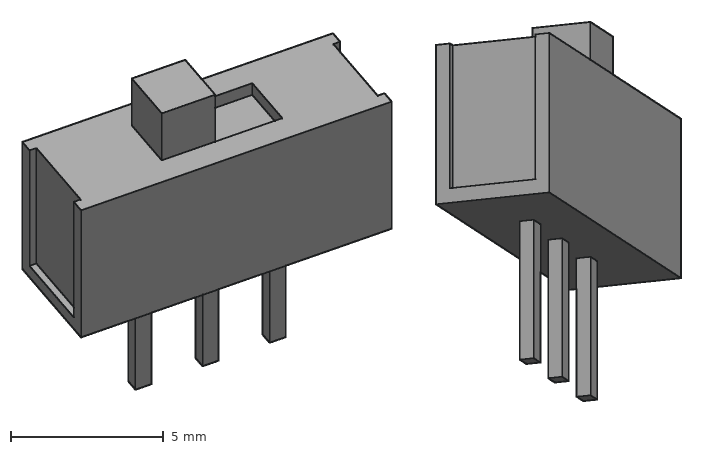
import cadquery as cq

total_height = 12.1
body_width = 4.0
body_length = 11.6
knob_height = 2.0
pin_length = 4.7
body_height = total_height - knob_height - pin_length

wall = 0.5
end_recess_depth = 0.25

slot_width = 2.05
slot_length = 4.5
slot_depth = 0.5
knob_length = 2.0

pin_width = 0.5
pin_thickness = 0.6
pin_pitch = 2.5


def box_on(z_bottom, width, length, height, y_center=0):
    """Box centred on X, standing on the given Z level."""
    return (
        cq.Workplane("XY")
        .box(width, length, height, centered=(True, True, False))
        .translate((0, y_center, z_bottom))
    )


result = box_on(0, body_width, body_length, body_height)

recess_width = body_width - 2 * wall
for side in (-1, 1):
    recess_center = side * (body_length - end_recess_depth) / 2
    result = result.cut(
        box_on(wall, recess_width, end_recess_depth, body_height - wall, recess_center)
    )

slot_floor = body_height - slot_depth
knob_center = (knob_length - slot_length) / 2
result = result.cut(box_on(slot_floor, slot_width, slot_length, slot_depth))
result = result.union(
    box_on(slot_floor, slot_width, knob_length, slot_depth + knob_height, knob_center)
)

for position in (-1, 0, 1):
    result = result.union(
        box_on(-pin_length, pin_width, pin_thickness, pin_length, position * pin_pitch)
    )